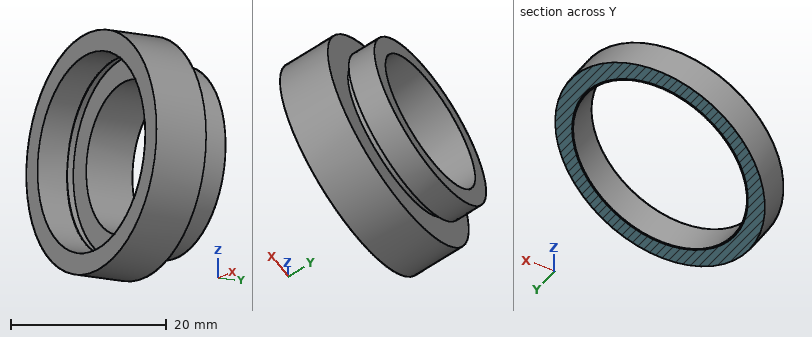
import cadquery as cq


body_diameter = 31.75
body_length = 7.5

neck_diameter = 22.7
neck_length = 1.0
spigot_diameter = 25.2
spigot_length = 4.0

bore_diameter = 20.2
socket_diameter = 26.2
socket_depth = 5.5

relief_diameter = 26.5
relief_width = 1.0

total_length = body_length + neck_length + spigot_length
front_face = -total_length / 2


def disc(diameter, start, length):
    """Solid cylinder on the Y axis, starting at a distance behind the front face."""
    plane = cq.Workplane("XZ", origin=(0, front_face + start, 0))
    return plane.circle(diameter / 2).extrude(-length)


def make_outside():
    body = disc(body_diameter, 0, body_length)
    neck = disc(neck_diameter, body_length, neck_length)
    spigot = disc(spigot_diameter, body_length + neck_length, spigot_length)
    return body.union(neck).union(spigot)


def make_inside():
    bore = disc(bore_diameter, 0, total_length)
    socket = disc(socket_diameter, 0, socket_depth)
    relief = disc(relief_diameter, socket_depth - relief_width, relief_width)
    return bore.union(socket).union(relief)


result = make_outside().cut(make_inside())